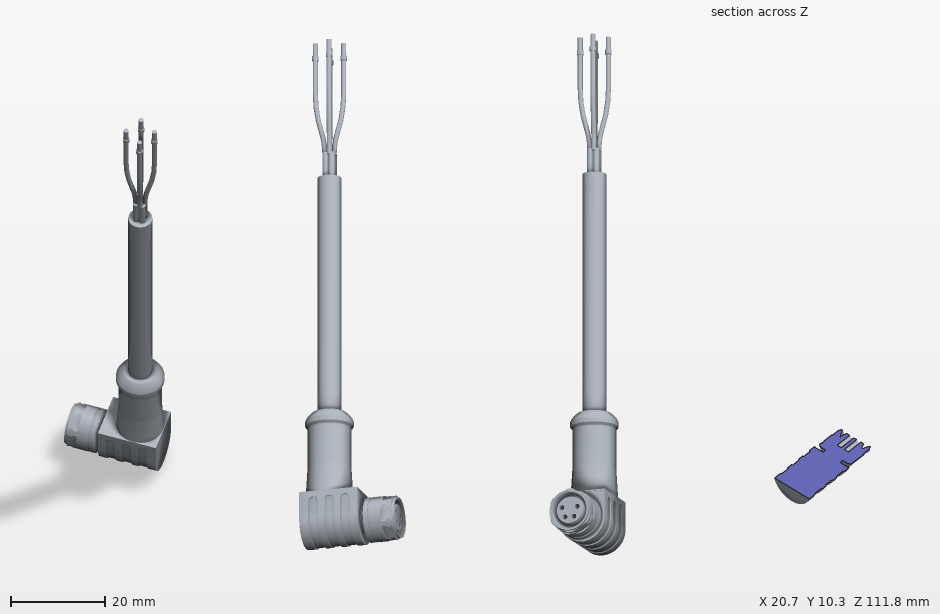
import math

import cadquery as cq

JOIN = 0.5

BLOCK_RADIUS = 5.15
BLOCK_LENGTH = 12.9
BLOCK_RIGHT = BLOCK_RADIUS
BLOCK_LEFT = BLOCK_RIGHT - BLOCK_LENGTH
BLOCK_TOP = 6.0

FACE_RIM = 0.3
FACE_RECESS = 0.1

GRIP_COUNT = 3
GRIP_PITCH = 3.5
GRIP_FIRST_X = -4.95
GRIP_WIDTH = 2.1
GRIP_DEPTH = 0.25
GRIP_TOP = 4.75

SLEEVE_ROOT_DIAMETER = 10.1
SLEEVE_DIAMETER = 9.3
SLEEVE_TAPER_TOP = 12.5
COLLAR_DIAMETER = 10.3
COLLAR_BOTTOM = 21.1
COLLAR_CHAMFER = 0.5
COLLAR_TOP = 22.6
SHOULDER_DIAMETER = 7.2
SHOULDER_TOP = 24.5
SHOULDER_BULGE = 0.2

CABLE_DIAMETER = 5.1
CABLE_TOP = 76.8
CORE_COUNT = 4
BUNDLE_CORE_DIAMETER = 1.4
BUNDLE_CORE_RADIUS = 0.95
BUNDLE_ANGLE = 45.0
BUNDLE_TOP = 82.3

CORE_DIAMETER = 1.07
CORE_START_RADIUS = 0.99
CORE_END_RADIUS = 3.0
CORE_ANGLE = 15.0
BEND_MIDDLE = 87.0
BEND_TOP = 95.5
BAND_DIAMETER = 1.4
BAND_BOTTOM = 102.9
BAND_TOP = 103.9
CORE_TOP = 106.65

NUT_LEFT = -15.55
NUT_RIGHT = -8.4
NUT_DIAMETER = 9.6
NUT_NOSE_DIAMETER = 8.8
NUT_NOSE_LENGTH = 0.55
NUT_LAND_GROOVE_LEFT = NUT_LEFT + 0.85
NUT_LAND_GROOVE_WIDTH = 0.9
NUT_REAR_DIAMETER = 8.3
NUT_REAR_LENGTH = 0.4
NUT_REAR_GROOVE_LEFT = -10.2
NUT_REAR_GROOVE_WIDTH = 0.45
NUT_GROOVE_DIAMETER = 9.3
NECK_DIAMETER = 5.72
FLAT_COUNT = 6
FLAT_LENGTH = 2.8
FLAT_ACROSS = NUT_NOSE_DIAMETER

RIM_DIAMETER = 8.2
RIM_DEPTH = 0.2
MOUTH_DIAMETER = 7.8
MOUTH_FLOOR_DIAMETER = 6.95
MOUTH_DEPTH = 1.5
INSERT_DIAMETER = 6.5
INSERT_FACE_DIAMETER = 5.65
INSERT_FACE_X = NUT_LEFT + 0.3
CONTACT_DIAMETER = 1.05
CONTACT_DEPTH = 4.0
CONTACTS = ((1.72, 0.65), (-1.72, 0.65), (1.0, -1.45), (-1.0, -1.45))


def cylinder_z(diameter, bottom, top, x=0.0, y=0.0):
    return cq.Workplane("XY", origin=(x, y, bottom)).circle(diameter / 2).extrude(top - bottom)


def revolve_about_x(points):
    """Revolve a closed (x, radius) outline about the X axis."""
    return cq.Workplane("XZ").polyline(points).close().revolve(360, (0, 0, 0), (1, 0, 0))


def polar(radius, angle):
    return radius * math.cos(math.radians(angle)), radius * math.sin(math.radians(angle))


def rounded_block(radius, top, length):
    """Block with a half-round underside, starting at the plug side and lying along X."""
    return (
        cq.Workplane("YZ", origin=(BLOCK_LEFT, 0, 0))
        .moveTo(-radius, top)
        .lineTo(-radius, 0)
        .threePointArc((0, -radius), (radius, 0))
        .lineTo(radius, top)
        .close()
        .extrude(length)
    )


def make_block():
    block = rounded_block(BLOCK_RADIUS, BLOCK_TOP, BLOCK_LENGTH)
    core = rounded_block(BLOCK_RADIUS - GRIP_DEPTH, BLOCK_TOP, BLOCK_LENGTH)
    block = block.cut(rounded_block(BLOCK_RADIUS - FACE_RIM, BLOCK_TOP - FACE_RIM, FACE_RECESS))
    half_width = GRIP_WIDTH / 2
    for index in range(GRIP_COUNT):
        x = GRIP_FIRST_X + index * GRIP_PITCH
        arch = (
            cq.Workplane("XZ", origin=(x, 0, 0))
            .moveTo(-half_width, -BLOCK_RADIUS)
            .lineTo(-half_width, GRIP_TOP - half_width)
            .threePointArc((0, GRIP_TOP), (half_width, GRIP_TOP - half_width))
            .lineTo(half_width, -BLOCK_RADIUS)
            .close()
            .extrude(BLOCK_RADIUS, both=True)
        )
        block = block.cut(arch.cut(core))
    return block


def make_sleeve():
    collar_radius = COLLAR_DIAMETER / 2
    sleeve_radius = SLEEVE_DIAMETER / 2
    shoulder_radius = SHOULDER_DIAMETER / 2
    run = collar_radius - shoulder_radius
    rise = SHOULDER_TOP - COLLAR_TOP
    slope = math.hypot(run, rise)
    shoulder_middle = (
        shoulder_radius + run / 2 + SHOULDER_BULGE * rise / slope,
        COLLAR_TOP + rise / 2 + SHOULDER_BULGE * run / slope,
    )
    return (
        cq.Workplane("XZ")
        .moveTo(0, BLOCK_TOP - JOIN)
        .lineTo(SLEEVE_ROOT_DIAMETER / 2, BLOCK_TOP - JOIN)
        .lineTo(SLEEVE_ROOT_DIAMETER / 2, BLOCK_TOP)
        .lineTo(sleeve_radius, SLEEVE_TAPER_TOP)
        .lineTo(sleeve_radius, COLLAR_BOTTOM)
        .lineTo(collar_radius, COLLAR_BOTTOM + COLLAR_CHAMFER)
        .lineTo(collar_radius, COLLAR_TOP)
        .threePointArc(shoulder_middle, (shoulder_radius, SHOULDER_TOP))
        .lineTo(0, SHOULDER_TOP)
        .close()
        .revolve(360, (0, 0, 0), (0, 1, 0))
    )


def make_cable():
    cable = cylinder_z(CABLE_DIAMETER, SHOULDER_TOP - JOIN, CABLE_TOP)
    for index in range(CORE_COUNT):
        x, y = polar(BUNDLE_CORE_RADIUS, BUNDLE_ANGLE + index * 360 / CORE_COUNT)
        cable = cable.union(cylinder_z(BUNDLE_CORE_DIAMETER, CABLE_TOP - JOIN, BUNDLE_TOP, x, y))
    return cable


def bend_middle(start, end):
    """Halfway point of the arc that leaves start along Z and finishes at end.

    Both points are (offset, z) pairs.
    """
    offset = end[0] - start[0]
    height = end[1] - start[1]
    radius = (offset**2 + height**2) / (2 * offset)
    half_turn = math.atan(offset / height)
    return start[0] + radius * (1 - math.cos(half_turn)), start[1] + radius * math.sin(half_turn)


def make_core():
    """One core bending outwards along X and then back to vertical."""
    share = (BEND_MIDDLE - BUNDLE_TOP) / (BEND_TOP - BUNDLE_TOP)
    middle_radius = CORE_START_RADIUS + share * (CORE_END_RADIUS - CORE_START_RADIUS)
    foot = (CORE_START_RADIUS, BUNDLE_TOP)
    middle = (middle_radius, BEND_MIDDLE)
    head = (CORE_END_RADIUS, BEND_TOP)
    path = (
        cq.Workplane("XZ")
        .moveTo(CORE_START_RADIUS, BUNDLE_TOP - JOIN)
        .lineTo(*foot)
        .threePointArc(bend_middle(foot, middle), middle)
        .threePointArc(bend_middle(head, middle), head)
        .lineTo(CORE_END_RADIUS, CORE_TOP)
    )
    core = (
        cq.Workplane("XY", origin=(CORE_START_RADIUS, 0, BUNDLE_TOP - JOIN))
        .circle(CORE_DIAMETER / 2)
        .sweep(path)
    )
    return core.union(cylinder_z(BAND_DIAMETER, BAND_BOTTOM, BAND_TOP, CORE_END_RADIUS))


def ring_groove(left, width):
    """Ring that cuts a groove into the outside of the nut."""
    return (
        cq.Workplane("YZ", origin=(left, 0, 0))
        .circle(NUT_DIAMETER / 2 + JOIN)
        .circle(NUT_GROOVE_DIAMETER / 2)
        .extrude(width)
    )


def make_nut():
    nut_radius = NUT_DIAMETER / 2
    nose_radius = NUT_NOSE_DIAMETER / 2
    nose_end = NUT_LEFT + NUT_NOSE_LENGTH
    neck_radius = NECK_DIAMETER / 2
    nut = revolve_about_x([
        (NUT_LEFT, 0),
        (NUT_LEFT, nose_radius),
        (nose_end, nose_radius),
        (nose_end, nut_radius),
        (NUT_RIGHT - NUT_REAR_LENGTH, nut_radius),
        (NUT_RIGHT, NUT_REAR_DIAMETER / 2),
        (NUT_RIGHT, neck_radius),
        (BLOCK_LEFT + JOIN, neck_radius),
        (BLOCK_LEFT + JOIN, 0),
    ])
    nut = nut.cut(ring_groove(NUT_LAND_GROOVE_LEFT, NUT_LAND_GROOVE_WIDTH))
    nut = nut.cut(ring_groove(NUT_REAR_GROOVE_LEFT, NUT_REAR_GROOVE_WIDTH))
    for index in range(FLAT_COUNT):
        flat = (
            cq.Workplane("XY")
            .box(FLAT_LENGTH, NUT_DIAMETER, NUT_DIAMETER, centered=(False, False, True))
            .translate((NUT_LEFT, FLAT_ACROSS / 2, 0))
            .rotate((0, 0, 0), (1, 0, 0), index * 360 / FLAT_COUNT)
        )
        nut = nut.cut(flat)
    return nut.cut(make_mouth())


def make_mouth():
    """Ring-shaped recess between the nut and the tapered socket insert, with contact holes."""
    rim_x = NUT_LEFT + RIM_DEPTH
    floor_x = NUT_LEFT + MOUTH_DEPTH
    mouth = revolve_about_x([
        (NUT_LEFT, 0),
        (NUT_LEFT, RIM_DIAMETER / 2),
        (rim_x, RIM_DIAMETER / 2),
        (rim_x, MOUTH_DIAMETER / 2),
        (floor_x, MOUTH_FLOOR_DIAMETER / 2),
        (floor_x, INSERT_DIAMETER / 2),
        (INSERT_FACE_X, INSERT_FACE_DIAMETER / 2),
        (INSERT_FACE_X, 0),
    ])
    contacts = (
        cq.Workplane("YZ", origin=(INSERT_FACE_X - JOIN, 0, 0))
        .pushPoints(CONTACTS)
        .circle(CONTACT_DIAMETER / 2)
        .extrude(CONTACT_DEPTH + JOIN)
    )
    return mouth.union(contacts)


result = make_block().union(make_sleeve()).union(make_cable()).union(make_nut())
fan_core = make_core()
for core_index in range(CORE_COUNT):
    core_angle = CORE_ANGLE + core_index * 360 / CORE_COUNT
    result = result.union(fan_core.rotate((0, 0, 0), (0, 0, 1), core_angle))